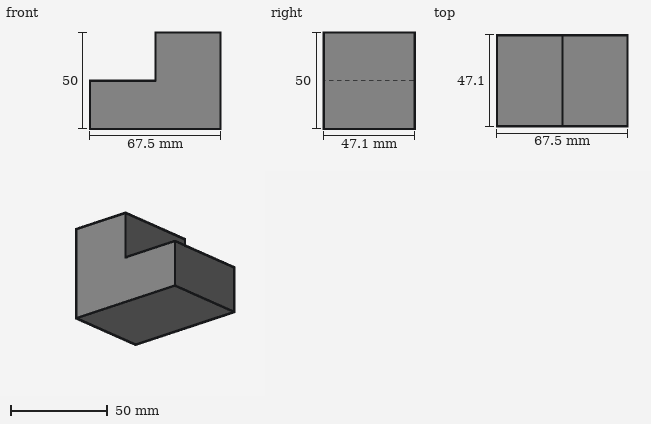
import cadquery as cq

length = 67.55
width = 47.15
height = 50.0

step_length = length / 2
step_height = height / 2

profile = [
    (0, 0),
    (length, 0),
    (length, height),
    (step_length, height),
    (step_length, step_height),
    (0, step_height),
]

result = cq.Workplane("XZ").polyline(profile).close().extrude(-width)